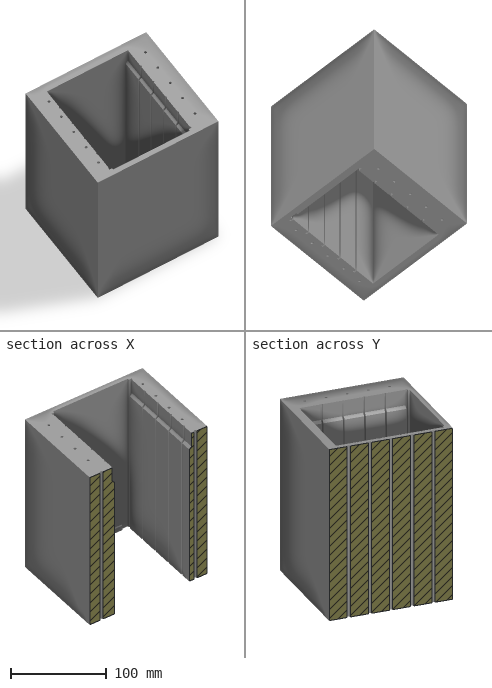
import cadquery as cq

BOX_X = 140.0
BOX_Y = 150.0
BOX_Z = 198.0

END_WALL = 8.0
LEFT_WALL = 9.9
RIGHT_WALL = 6.0
BLOCK_LEFT_WALL = 7.1
BLOCK_RIGHT_WALL = 8.0

FRONT_BLOCK_DEPTH = 15.0
REAR_BLOCK_DEPTH = 24.0

LAND_COUNT = 5
LAND_PITCH = 24.0
LAND_RISE = 3.5
TOP_LAND_RISE = 0.8
SHOULDER_DROP = 3.0
TOP_LAND_LENGTH = 18.0
GROOVE_WIDTH = 2.0

HOLE_DIAMETER = 3.0
HOLE_INSET = 15.0

LIP_LENGTH = 87.1
LIP_HEIGHT = 6.0

shaft_left = -BOX_X / 2 + LEFT_WALL
shaft_right = BOX_X / 2 - RIGHT_WALL
block_left = -BOX_X / 2 + BLOCK_LEFT_WALL
block_right = BOX_X / 2 - BLOCK_RIGHT_WALL
seat_end = BOX_Y / 2 - END_WALL
front_face = -seat_end + FRONT_BLOCK_DEPTH
rear_face = seat_end - REAR_BLOCK_DEPTH


def column(x0, x1, y0, y1, height=BOX_Z):
    """Upright box on Z = 0 between two opposite corners in plan."""
    return (
        cq.Workplane("XY")
        .center((x0 + x1) / 2, (y0 + y1) / 2)
        .rect(abs(x1 - x0), abs(y1 - y0))
        .extrude(height)
    )


def make_frame():
    """Box with a shaft through it, a wider seat for each guide block and a lip in the shaft."""
    frame = column(-BOX_X / 2, BOX_X / 2, -BOX_Y / 2, BOX_Y / 2)
    shaft = column(shaft_left, shaft_right, front_face, rear_face)
    front_seat = column(block_left, block_right, -seat_end, front_face)
    rear_seat = column(block_left, block_right, rear_face, seat_end)
    lip = column(block_right, shaft_right, rear_face - LIP_LENGTH, rear_face, LIP_HEIGHT)
    return frame.cut(shaft).cut(front_seat).cut(rear_seat).union(lip)


def make_land(x0, x1, floor_y, inward):
    """One land between x0 and x1, standing out from the groove floor."""
    face_y = floor_y + inward * LAND_RISE
    top_y = floor_y + inward * TOP_LAND_RISE
    slope_top = BOX_Z - TOP_LAND_LENGTH
    profile = [
        (floor_y, 0),
        (face_y, 0),
        (face_y, slope_top - SHOULDER_DROP),
        (top_y, slope_top),
        (top_y, BOX_Z),
        (floor_y, BOX_Z),
    ]
    return cq.Workplane("YZ", origin=(x0, 0, 0)).polyline(profile).close().extrude(x1 - x0)


def make_block(face_y, inward):
    """Guide block with its lands at face_y, looking along Y in the inward direction (+1 or -1)."""
    floor_y = face_y - inward * LAND_RISE
    back_y = -inward * seat_end
    block = column(block_left, block_right, back_y, floor_y)
    block = block.union(column(block_left, shaft_left, back_y, face_y))

    hole_y = -inward * (BOX_Y / 2 - HOLE_INSET)
    hole_points = [((i - (LAND_COUNT - 1) / 2) * LAND_PITCH, hole_y) for i in range(LAND_COUNT)]
    block = block.cut(
        cq.Workplane("XY").pushPoints(hole_points).circle(HOLE_DIAMETER / 2).extrude(BOX_Z)
    )

    for i in range(LAND_COUNT):
        land_end = block_right - GROOVE_WIDTH - (LAND_COUNT - 1 - i) * LAND_PITCH
        land_start = shaft_left if i == 0 else land_end - LAND_PITCH + GROOVE_WIDTH
        block = block.union(make_land(land_start, land_end, floor_y, inward), clean=False)
    return block


result = make_frame()
result = result.union(make_block(front_face, 1), clean=False)
result = result.union(make_block(rear_face, -1), clean=False)